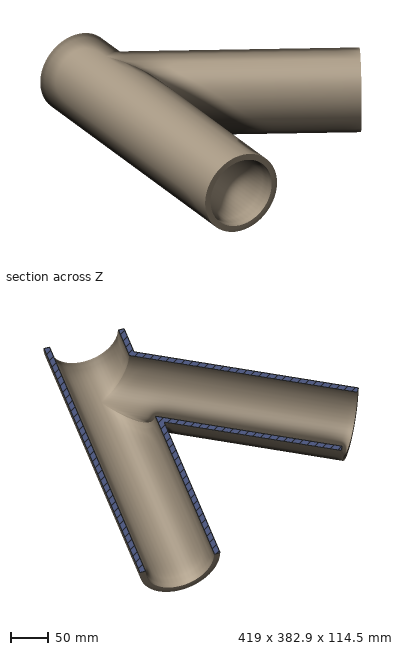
import cadquery as cq

run_length = 419.0
outer_diameter = 114.5
bore_diameter = 97.2
branch_length = 343.0
branch_angle = 60.0
branch_position = 76.3


def run_cylinder(diameter):
    """Cylinder along X, starting at the -X end of the run."""
    return cq.Workplane("YZ").circle(diameter / 2).extrude(run_length)


def branch_cylinder(diameter):
    """Cylinder along the branch axis, starting where the two axes cross."""
    straight = cq.Workplane("YZ").circle(diameter / 2).extrude(branch_length)
    turned = straight.rotate((0, 0, 0), (0, 0, 1), branch_angle)
    return turned.translate((branch_position, 0, 0))


def wye(diameter):
    """Run and branch of equal diameter joined into one solid."""
    return run_cylinder(diameter).union(branch_cylinder(diameter))


result = wye(outer_diameter).cut(wye(bore_diameter))